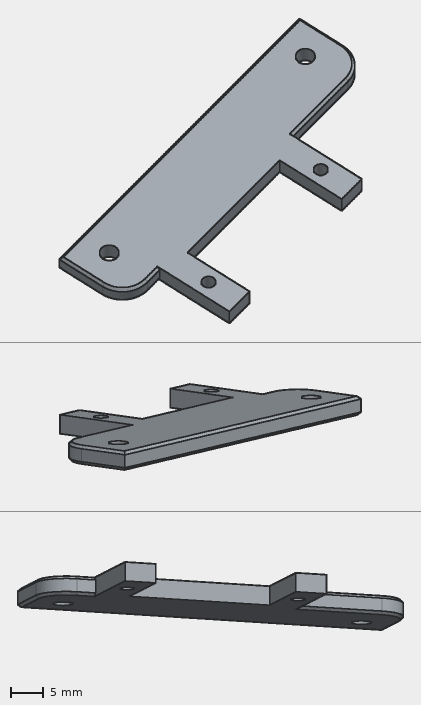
import cadquery as cq

length = 60.0
thickness = 3.0
plate_width = 13.5
corner_radius = 5.0
edge_chamfer = 0.5

arm_tip_x = 27.25
arm_width = 5.05
arm_spacing = 28.0
upper_arm_y = 8.6
arm_centers_y = (upper_arm_y, upper_arm_y - arm_spacing)
web_edge_x = 15.0

plate_hole_diameter = 3.0
plate_hole_inset = 5.5
arm_hole_diameter = 2.2
arm_hole_x = 21.1


def block(x_start, x_end, y_center, y_size):
    """Full-thickness rectangular block between two X positions."""
    return (
        cq.Workplane("XY")
        .center((x_start + x_end) / 2, y_center)
        .rect(x_end - x_start, y_size)
        .extrude(thickness)
    )


def drill(part, points, diameter):
    """Cut round through holes at the given XY points."""
    pins = cq.Workplane("XY").pushPoints(points).circle(diameter / 2).extrude(thickness)
    return part.cut(pins)


plate = block(0, plate_width, 0, length)
plate = plate.edges("|Z and >X").fillet(corner_radius)
plate = plate.faces("<Z or >Z").edges().chamfer(edge_chamfer)

root_x = plate_width / 2
web_center_y = sum(arm_centers_y) / 2
result = plate.union(block(root_x, web_edge_x, web_center_y, arm_spacing))
for arm_y in arm_centers_y:
    result = result.union(block(root_x, arm_tip_x, arm_y, arm_width))

plate_hole_y = length / 2 - plate_hole_inset
plate_hole_points = [(plate_hole_inset, y) for y in (plate_hole_y, -plate_hole_y)]
arm_hole_points = [(arm_hole_x, y) for y in arm_centers_y]
result = drill(result, plate_hole_points, plate_hole_diameter)
result = drill(result, arm_hole_points, arm_hole_diameter)